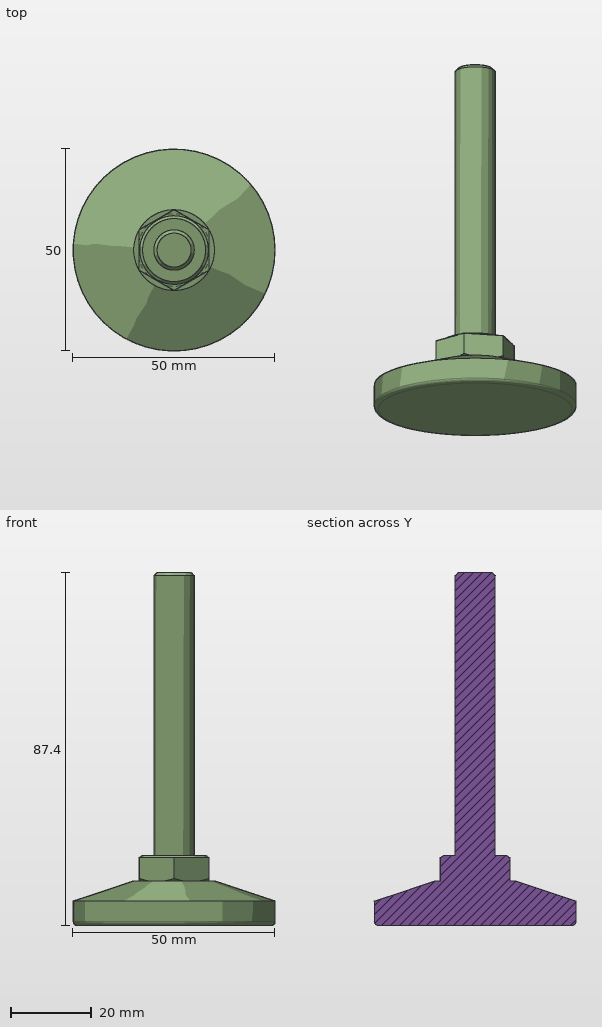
import cadquery as cq
import math

total_height = 87.4

foot_radius = 25.0
foot_edge_fillet = 1.0
rim_height = 6.1
foot_height = 11.1
cone_top_radius = 10.0

hex_sides = 6
hex_corner_radius = 10.0
half_corner_angle = 180 / hex_sides
hex_height = 5.8
hex_chamfer_width = 1.0
hex_chamfer_angle = 30.0
hex_chamfer_height = hex_chamfer_width * math.tan(math.radians(hex_chamfer_angle))
hex_top = foot_height + hex_height

collar_height = 0.5
collar_top_radius = 7.8
collar_bottom_radius = 8.5

rod_radius = 5.0
rod_chamfer = 0.8


def make_foot():
    """Foot revolved about Z, with a rounded lower edge."""
    profile = (
        cq.Workplane("XZ")
        .lineTo(foot_radius, 0)
        .lineTo(foot_radius, rim_height)
        .lineTo(cone_top_radius, foot_height)
        .lineTo(0, foot_height)
        .close()
    )
    return profile.revolve().faces("<Z").edges().fillet(foot_edge_fillet)


def make_hexagon():
    """Hexagonal prism whose lower corners are cut back by a cone."""
    prism = (
        cq.Workplane("XY")
        .workplane(offset=foot_height)
        .polygon(hex_sides, 2 * hex_corner_radius)
        .extrude(hex_height)
        .rotate((0, 0, 0), (0, 0, 1), half_corner_angle)
    )
    envelope = (
        cq.Workplane("XY")
        .workplane(offset=foot_height)
        .circle(hex_corner_radius)
        .extrude(hex_height)
        .faces("<Z")
        .chamfer(hex_chamfer_height, hex_chamfer_width)
    )
    return prism.intersect(envelope)


def make_collar():
    """Low truncated cone standing on the hexagon."""
    profile = (
        cq.Workplane("XZ")
        .moveTo(0, hex_top)
        .lineTo(collar_bottom_radius, hex_top)
        .lineTo(collar_top_radius, hex_top + collar_height)
        .lineTo(0, hex_top + collar_height)
        .close()
    )
    return profile.revolve()


def make_rod():
    """Plain round rod with a chamfered top end."""
    return (
        cq.Workplane("XY")
        .workplane(offset=foot_height)
        .circle(rod_radius)
        .extrude(total_height - foot_height)
        .faces(">Z")
        .chamfer(rod_chamfer)
    )


result = make_foot().union(make_hexagon()).union(make_collar()).union(make_rod())